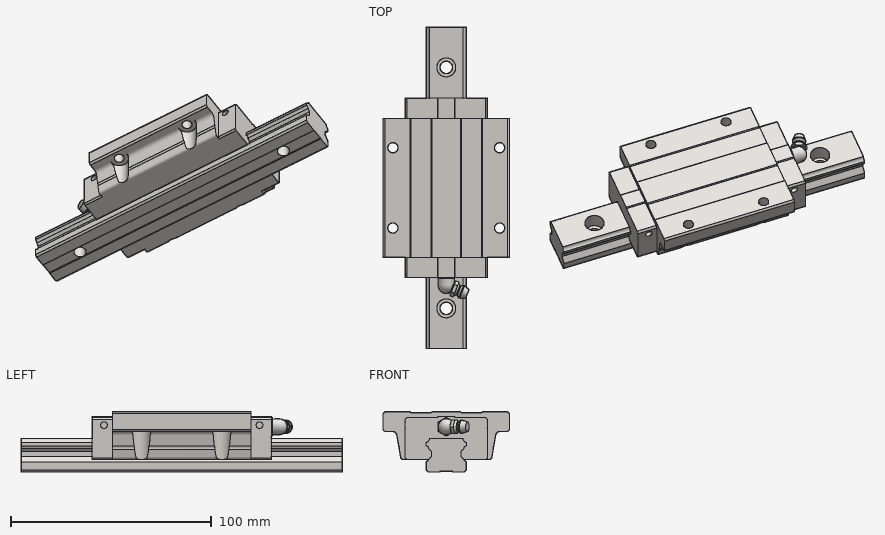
import cadquery as cq
import math

rail_length = 160.0
rail_height = 16.8
rail_half_width = 20.0 / 2
rail_waist_half_width = 7.4
rail_lip_height = 0.5
rail_upper_race_size = 1.6
rail_upper_race_sag = 0.3
rail_lower_race_radius = 1.3
rail_head_low = 13.0
rail_waist_bottom = 7.7
rail_base_chamfer = 1.0
rail_relief_half_width = 3.2
rail_relief_depth = 0.3
rail_hole_spacing = 120.0
rail_hole_diameter = 6.0
rail_bore_diameter = 9.5
rail_bore_depth = 8.5

block_length = 69.1
block_half_width = 31.5
carriage_top = 30.0
carriage_bottom = 6.2
flange_bottom = 20.2
flange_chamfer = 1.0
skirt_top_half_width = 25.0
skirt_bottom_half_width = 22.5
skirt_root_fillet = 2.2
skirt_foot_fillet = 1.5
notch_top = 13.0
notch_bottom = 11.4
notch_depth = 0.2
groove_inner = 7.0
groove_outer = 18.0
groove_depth = 0.5
mount_hole_diameter = 5.0
mount_spacing_x = 53.1
mount_spacing_y = 40.0
clearance_diameter = 9.5

cap_length = 10.0
cap_half_width = 20.5
cap_top = 27.2
cap_top_chamfer = 1.0
cap_bottom_chamfer = 0.8
cap_ridge_half_width = 4.5
cap_ridge_height = 0.5
cap_hole_diameter = 3.4
cap_hole_depth = 3.2
cap_hole_height = 23.4
cap_hole_inset = 6.0

nipple_height = 22.5
nipple_diameter = 8.0
nipple_reach = nipple_diameter / 2
nipple_base_thickness = 0.5
nipple_angle = 22.0
spout_hex_flats = 6.9
spout_hex_start = 3.5
spout_hex_end = 5.3
spout_neck_start = 6.4
spout_neck_end = 6.9
spout_head_start = 8.0
spout_head_end = 8.5
spout_end = 11.4
spout_neck_diameter = 5.1
spout_head_diameter = 6.7
spout_tip_diameter = 4.8

carriage_end = block_length / 2 + cap_length


def symmetric_prism(half_profile, length):
    """Extrude a profile drawn on its +X side along Y, centred, and mirror it about the YZ plane."""
    half = half_profile.close().extrude(length / 2, both=True)
    return half.union(half.mirror("YZ")).clean()


def rail_blank():
    """Rail profile at full length, without the bolt holes."""
    diagonal = math.sqrt(0.5)
    upper_race_x = rail_half_width - rail_upper_race_size
    upper_race_top = rail_height - rail_lip_height
    upper_race_bottom = upper_race_top - rail_upper_race_size
    upper_race_middle = (
        rail_half_width - rail_upper_race_size / 2 - rail_upper_race_sag * diagonal,
        upper_race_top - rail_upper_race_size / 2 - rail_upper_race_sag * diagonal,
    )
    lower_race_x = rail_half_width - rail_lower_race_radius
    lower_race_bottom = rail_head_low - rail_lower_race_radius
    lower_race_middle = (
        rail_half_width - rail_lower_race_radius * diagonal,
        lower_race_bottom + rail_lower_race_radius * diagonal,
    )
    waist_top = lower_race_bottom - (lower_race_x - rail_waist_half_width)
    base_top = rail_waist_bottom - (rail_half_width - rail_waist_half_width)
    profile = (
        cq.Workplane("XZ")
        .moveTo(0, rail_relief_depth)
        .lineTo(rail_relief_half_width - rail_relief_depth, rail_relief_depth)
        .lineTo(rail_relief_half_width, 0)
        .lineTo(rail_half_width - rail_base_chamfer, 0)
        .lineTo(rail_half_width, rail_base_chamfer)
        .lineTo(rail_half_width, base_top)
        .lineTo(rail_waist_half_width, rail_waist_bottom)
        .lineTo(rail_waist_half_width, waist_top)
        .lineTo(lower_race_x, lower_race_bottom)
        .threePointArc(lower_race_middle, (rail_half_width, rail_head_low))
        .lineTo(rail_half_width, upper_race_bottom)
        .threePointArc(upper_race_middle, (upper_race_x, upper_race_top))
        .lineTo(upper_race_x, rail_height)
        .lineTo(0, rail_height)
    )
    return symmetric_prism(profile, rail_length)


def make_rail():
    return (
        rail_blank()
        .faces(">Z")
        .workplane(origin=(0, 0, rail_height))
        .rarray(1.6, rail_hole_spacing, 1, 2)
        .cboreHole(rail_hole_diameter, rail_bore_diameter, rail_bore_depth)
    )


def skirt_half_width(z):
    """Half width of the sloping skirt face at height z."""
    share = (z - carriage_bottom) / (flange_bottom - carriage_bottom)
    return skirt_bottom_half_width + share * (skirt_top_half_width - skirt_bottom_half_width)


def make_block():
    notch_middle = (notch_bottom + notch_top) / 2
    profile = (
        cq.Workplane("XZ")
        .moveTo(0, carriage_bottom)
        .lineTo(skirt_bottom_half_width, carriage_bottom)
        .lineTo(skirt_half_width(notch_bottom), notch_bottom)
        .threePointArc(
            (skirt_half_width(notch_middle) - notch_depth, notch_middle),
            (skirt_half_width(notch_top), notch_top),
        )
        .lineTo(skirt_top_half_width, flange_bottom)
        .lineTo(block_half_width - flange_chamfer, flange_bottom)
        .lineTo(block_half_width, flange_bottom + flange_chamfer)
        .lineTo(block_half_width, carriage_top - flange_chamfer)
        .lineTo(block_half_width - flange_chamfer, carriage_top)
        .lineTo(groove_outer, carriage_top)
        .lineTo(groove_outer - groove_depth, carriage_top - groove_depth)
        .lineTo(groove_inner + groove_depth, carriage_top - groove_depth)
        .lineTo(groove_inner, carriage_top)
        .lineTo(0, carriage_top)
    )
    block = symmetric_prism(profile, block_length)
    for side in (-1, 1):
        root = cq.selectors.NearestToPointSelector((side * skirt_top_half_width, 0, flange_bottom))
        block = block.edges("|Y").edges(root).fillet(skirt_root_fillet)
        foot = cq.selectors.NearestToPointSelector((side * skirt_bottom_half_width, 0, carriage_bottom))
        block = block.edges("|Y").edges(foot).fillet(skirt_foot_fillet)

    mount_pattern = cq.Workplane("XY").rarray(mount_spacing_x, mount_spacing_y, 2, 2)
    holes = mount_pattern.circle(mount_hole_diameter / 2).extrude(carriage_top)
    clearances = mount_pattern.circle(clearance_diameter / 2).extrude(flange_bottom)
    return block.cut(holes).cut(clearances)


def make_cap(end):
    """End cap on the +Y (end = 1) or -Y (end = -1) end of the block."""
    profile = (
        cq.Workplane("XZ")
        .moveTo(0, carriage_bottom)
        .lineTo(cap_half_width - cap_bottom_chamfer, carriage_bottom)
        .lineTo(cap_half_width, carriage_bottom + cap_bottom_chamfer)
        .lineTo(cap_half_width, cap_top - cap_top_chamfer)
        .lineTo(cap_half_width - cap_top_chamfer, cap_top)
        .lineTo(cap_ridge_half_width, cap_top)
        .lineTo(cap_ridge_half_width - cap_ridge_height, cap_top + cap_ridge_height)
        .lineTo(0, cap_top + cap_ridge_height)
    )
    cap_y = end * (block_length + cap_length) / 2
    cap = symmetric_prism(profile, cap_length).translate((0, cap_y, 0))
    hole_y = end * (carriage_end - cap_hole_inset)
    for side in (-1, 1):
        hole = cq.Solid.makeCylinder(
            cap_hole_diameter / 2,
            cap_hole_depth,
            cq.Vector(side * cap_half_width, hole_y, cap_hole_height),
            cq.Vector(-side, 0, 0),
        )
        cap = cap.cut(cq.Workplane(hole))
    return cap


def make_carriage():
    """Block and end caps in one piece, with a channel that fits the rail."""
    return make_block().union(make_cap(1)).union(make_cap(-1)).cut(rail_blank())


def make_spout():
    """Hexagon and turned fitting along +X, starting from the elbow centre at the origin."""
    hexagon_corners = spout_hex_flats / math.cos(math.pi / 6)
    hexagon = (
        cq.Workplane("YZ", origin=(spout_hex_start, 0, 0))
        .polygon(6, hexagon_corners)
        .extrude(spout_hex_end - spout_hex_start)
    )
    fitting = (
        cq.Workplane("XY")
        .polyline([
            (0, 0),
            (0, spout_neck_diameter / 2),
            (spout_hex_end, spout_neck_diameter / 2),
            (spout_hex_end, spout_hex_flats / 2),
            (spout_neck_start, spout_neck_diameter / 2),
            (spout_neck_end, spout_neck_diameter / 2),
            (spout_head_start, spout_head_diameter / 2),
            (spout_head_end, spout_head_diameter / 2),
            (spout_end, spout_tip_diameter / 2),
            (spout_end, 0),
        ])
        .close()
        .revolve(360, (0, 0, 0), (1, 0, 0))
    )
    return hexagon.union(fitting)


def make_nipple():
    """Elbow nipple: hexagonal base on the cap face, round elbow and slanted spout."""
    base_corners = nipple_diameter / math.cos(math.pi / 6)
    cap_face = cq.Workplane("XZ", origin=(0, -carriage_end, nipple_height))
    base = (
        cap_face.transformed(rotate=(0, 0, 90))
        .polygon(6, base_corners)
        .extrude(nipple_base_thickness)
    )
    shank = cap_face.circle(nipple_diameter / 2).extrude(nipple_reach)
    elbow_centre = (0, -carriage_end - nipple_reach, nipple_height)
    elbow = cq.Workplane("XY", origin=elbow_centre).sphere(nipple_diameter / 2)
    spout = make_spout().rotate((0, 0, 0), (0, 0, 1), -nipple_angle).translate(elbow_centre)
    return base.union(shank).union(elbow).union(spout)


rail = make_rail()
carriage = make_carriage()
nipple = make_nipple()

result = cq.Compound.makeCompound([rail.val(), carriage.val(), nipple.val()])